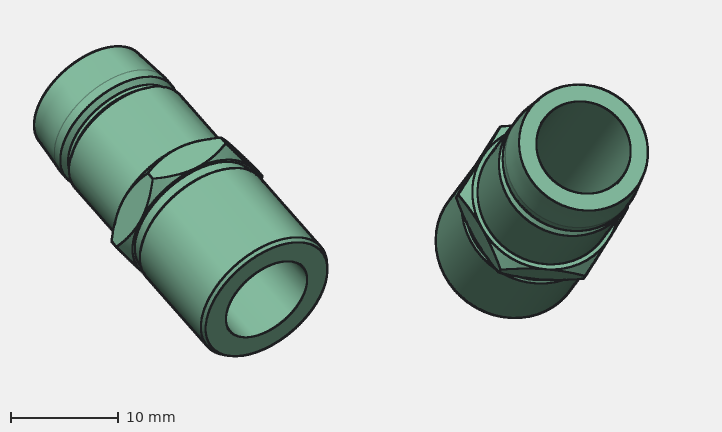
import cadquery as cq
import math

LENGTH = 30.0
BORE_DIAMETER = 9.0

SPIGOT_RADIUS = 6.5
TIP_RADIUS = 6.15
TAPER_LENGTH = 4.0
GROOVE_RADIUS = 6.0
GROOVE_START = 5.0
GROOVE_FLOOR_START = 5.55
GROOVE_FLOOR_END = 6.03
GROOVE_END = 6.48

HEX_START = 15.0
HEX_WIDTH = 3.0
HEX_ACROSS_FLATS = 14.0

SLEEVE_RADIUS = HEX_ACROSS_FLATS / 2
NECK_RADIUS = 6.75
NECK_END = 19.02
FRONT_CHAMFER_LENGTH = 0.2
END_CHAMFER_LENGTH = 0.42

HEX_END = HEX_START + HEX_WIDTH
HEX_CORNER_RADIUS = HEX_ACROSS_FLATS / 2 / math.cos(math.radians(30))


def revolve_profile(outline):
    """Turn (x, radius) points, closed along the axis, into a solid of revolution about X."""
    start_x = outline[0][0]
    end_x = outline[-1][0]
    closed_outline = [(start_x, 0)] + outline + [(end_x, 0)]
    return cq.Workplane("XY").polyline(closed_outline).close().revolve(360, (0, 0, 0), (1, 0, 0))


def turned_body():
    """Spigot, neck and sleeve as one turned shape."""
    return revolve_profile([
        (0, TIP_RADIUS),
        (TAPER_LENGTH, SPIGOT_RADIUS),
        (GROOVE_START, SPIGOT_RADIUS),
        (GROOVE_FLOOR_START, GROOVE_RADIUS),
        (GROOVE_FLOOR_END, GROOVE_RADIUS),
        (GROOVE_END, SPIGOT_RADIUS),
        (HEX_START, SPIGOT_RADIUS),
        (HEX_START, NECK_RADIUS),
        (NECK_END, NECK_RADIUS),
        (NECK_END + FRONT_CHAMFER_LENGTH, SLEEVE_RADIUS),
        (LENGTH - END_CHAMFER_LENGTH, SLEEVE_RADIUS),
        (LENGTH, NECK_RADIUS),
    ])


def hexagon():
    """Hexagonal prism whose corners are cut back at 45 degrees on both faces."""
    prism = (
        cq.Workplane("YZ", origin=(HEX_START, 0, 0))
        .polygon(6, 2 * HEX_CORNER_RADIUS)
        .extrude(HEX_WIDTH)
    )
    face_radius = HEX_ACROSS_FLATS / 2
    chamfer = HEX_CORNER_RADIUS - face_radius
    corner_envelope = revolve_profile([
        (HEX_START, face_radius),
        (HEX_START + chamfer, HEX_CORNER_RADIUS),
        (HEX_END - chamfer, HEX_CORNER_RADIUS),
        (HEX_END, face_radius),
    ])
    return prism.intersect(corner_envelope)


def bore():
    """Through bore along the axis."""
    return cq.Workplane("YZ").circle(BORE_DIAMETER / 2).extrude(LENGTH)


result = turned_body().union(hexagon()).cut(bore())